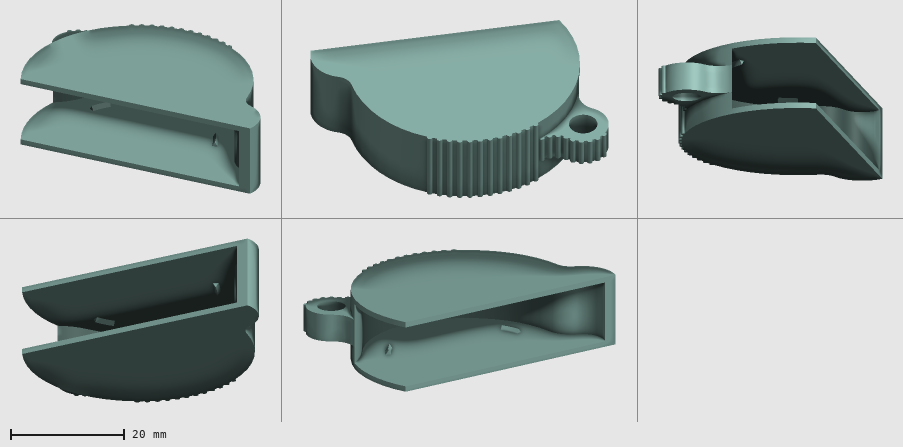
import cadquery as cq
import math

height = 13.0
length_y = 29.37
plate_thickness = 1.0
wall_thickness = 2.0
disc_radius = 20.5
cavity_height = height - 2 * plate_thickness
cavity_radius = disc_radius - wall_thickness

tooth_radius = 0.5
disc_tooth_pitch = 5.0
disc_tooth_count = 12
lug_tooth_pitch = 19.2
lug_tooth_count = 5
lug_first_tooth_angle = 56.0
blend_tooth_pitch = 21.7
blend_tooth_count = 4
blend_first_tooth_angle = 230.5

tooth_top = disc_radius * math.cos(math.radians(disc_tooth_pitch / 2)) + tooth_radius
mouth_y = tooth_top - length_y

lug_thickness = 5.0
lug_radius = 4.5
lug_hole_radius = 2.5
lug_distance = 24.0
lug_angle = 140.7
lug_blend_radius = 4.0

nose_radius = 6.0
nose_center = (20.2, -6.24)
nose_blend_radius = 3.0
nose_cavity_radius = nose_radius - wall_thickness
nose_flat_height = 0.69

lip_start_angle = 145.8

ridge_radius = 13.9
ridge_width = 1.05
ridge_height = 0.8
ridge_span = 15.0
ridge_start_angles = (15.0, 135.0)

clearance = 3.0


def polar(radius, angle, center=(0, 0)):
    """Point at a radius and an angle in degrees about a centre."""
    a = math.radians(angle)
    return (center[0] + radius * math.cos(a), center[1] + radius * math.sin(a))


def angle_of(point, center=(0, 0)):
    """Direction in degrees from a centre to a point."""
    return math.degrees(math.atan2(point[1] - center[1], point[0] - center[0]))


def blend_center(center, radius, blend_radius, side):
    """Centre of a circle touching the disc and another circle from outside.

    side is +1 for the solution counter-clockwise of the other circle, -1 for clockwise.
    """
    distance = math.hypot(*center)
    to_disc = disc_radius + blend_radius
    to_circle = radius + blend_radius
    cosine = (distance**2 + to_disc**2 - to_circle**2) / (2 * distance * to_disc)
    return polar(to_disc, angle_of(center) + side * math.degrees(math.acos(cosine)))


def prism(outline, thickness):
    """Outline on the mid-plane extruded equally up and down."""
    return outline.extrude(thickness / 2, both=True)


def arc_midpoint(center, radius, start, end):
    """Point halfway along an arc shorter than a half circle, found from the directions of its ends."""
    chord_middle = ((start[0] + end[0]) / 2, (start[1] + end[1]) / 2)
    return polar(radius, angle_of(chord_middle, center), center)


lug_center = polar(lug_distance, lug_angle)
lug_upper_blend = blend_center(lug_center, lug_radius, lug_blend_radius, -1)
lug_lower_blend = blend_center(lug_center, lug_radius, lug_blend_radius, 1)
nose_blend = blend_center(nose_center, nose_radius, nose_blend_radius, 1)


def make_body():
    """Disc with the nose, both cut flat at the mouth."""
    mouth_left = (-math.sqrt(disc_radius**2 - mouth_y**2), mouth_y)
    disc_end = polar(disc_radius, angle_of(nose_blend))
    nose_start = polar(nose_radius, angle_of(nose_blend, nose_center), nose_center)
    mouth_drop = mouth_y - nose_center[1]
    mouth_right = (nose_center[0] + math.sqrt(nose_radius**2 - mouth_drop**2), mouth_y)
    outline = (
        cq.Workplane("XY")
        .moveTo(*mouth_left)
        .threePointArc((0, disc_radius), disc_end)
        .threePointArc(arc_midpoint(nose_blend, nose_blend_radius, disc_end, nose_start), nose_start)
        .threePointArc((nose_center[0] + nose_radius, nose_center[1]), mouth_right)
        .close()
    )
    return prism(outline, height)


def make_cavity():
    """Tape space between the plates, open at the mouth and at the left side."""
    blend_radius = nose_blend_radius + wall_thickness
    disc_end = polar(cavity_radius, angle_of(nose_blend))
    nose_start = polar(nose_cavity_radius, angle_of(nose_blend, nose_center), nose_center)

    flat_drop = mouth_y + nose_flat_height - nose_center[1]
    flat_start_angle = math.degrees(math.asin(flat_drop / nose_cavity_radius))
    flat_start = polar(nose_cavity_radius, flat_start_angle, nose_center)
    flat_shift = nose_flat_height * math.tan(math.radians(flat_start_angle))
    flat_end = (flat_start[0] + flat_shift, mouth_y)

    lip_start = polar(cavity_radius, lip_start_angle)
    lip_end = polar(disc_radius, angle_of(lug_lower_blend))
    outward = polar(1, lip_start_angle)
    gap = (lip_start[0] - lip_end[0], lip_start[1] - lip_end[1])
    lip_radius = -(gap[0]**2 + gap[1]**2) / (2 * (gap[0] * outward[0] + gap[1] * outward[1]))
    lip_center = polar(cavity_radius + lip_radius, lip_start_angle)

    open_left = -disc_radius - clearance
    open_bottom = mouth_y - clearance
    outline = (
        cq.Workplane("XY")
        .moveTo(*flat_end)
        .lineTo(*flat_start)
        .threePointArc(
            arc_midpoint(nose_center, nose_cavity_radius, flat_start, nose_start), nose_start
        )
        .threePointArc(arc_midpoint(nose_blend, blend_radius, nose_start, disc_end), disc_end)
        .threePointArc((0, cavity_radius), lip_start)
        .threePointArc(arc_midpoint(lip_center, lip_radius, lip_start, lip_end), lip_end)
        .lineTo(open_left, lip_end[1])
        .lineTo(open_left, open_bottom)
        .lineTo(flat_end[0], open_bottom)
        .close()
    )
    return prism(outline, cavity_height)


def make_lug():
    """Round lug blended into the disc on both sides; its root lies inside the wall."""
    upper_on_disc = polar(disc_radius, angle_of(lug_upper_blend))
    upper_on_lug = polar(lug_radius, angle_of(lug_upper_blend, lug_center), lug_center)
    lower_on_lug = polar(lug_radius, angle_of(lug_lower_blend, lug_center), lug_center)
    lower_on_disc = polar(disc_radius, angle_of(lug_lower_blend))
    upper_middle = arc_midpoint(lug_upper_blend, lug_blend_radius, upper_on_disc, upper_on_lug)
    lower_middle = arc_midpoint(lug_lower_blend, lug_blend_radius, lower_on_lug, lower_on_disc)
    outline = (
        cq.Workplane("XY")
        .moveTo(*upper_on_disc)
        .threePointArc(upper_middle, upper_on_lug)
        .threePointArc(polar(lug_radius, lug_angle, lug_center), lower_on_lug)
        .threePointArc(lower_middle, lower_on_disc)
        .threePointArc(polar(disc_radius, lug_angle), upper_on_disc)
        .close()
    )
    return prism(outline, lug_thickness)


def make_teeth(center, radius, first_angle, pitch, count, thickness):
    """Row of half-round teeth spaced along an arc."""
    places = [polar(radius, first_angle + i * pitch, center) for i in range(count)]
    teeth = cq.Workplane("XY")
    for place in places:
        teeth = teeth.union(prism(cq.Workplane("XY").center(*place).circle(tooth_radius), thickness))
    return teeth


def make_ridge(start_angle):
    """Triangular arc ridge standing on the bottom plate's inner face."""
    floor = -cavity_height / 2
    root = floor - plate_thickness / 2
    inner = ridge_radius - ridge_width / 2
    outer = ridge_radius + ridge_width / 2
    section = [
        (inner, root),
        (outer, root),
        (outer, floor),
        (ridge_radius, floor + ridge_height),
        (inner, floor),
    ]
    ridge = cq.Workplane("XZ").polyline(section).close().revolve(ridge_span, (0, 0, 0), (0, 1, 0))
    return ridge.rotate((0, 0, 0), (0, 0, 1), start_angle)


disc_first_tooth_angle = 90 - disc_tooth_pitch * (disc_tooth_count - 1) / 2

result = make_body()
result = result.union(
    make_teeth((0, 0), disc_radius, disc_first_tooth_angle, disc_tooth_pitch, disc_tooth_count, height)
)
result = result.union(make_lug())
result = result.union(
    make_teeth(
        lug_center, lug_radius, lug_first_tooth_angle, lug_tooth_pitch, lug_tooth_count, lug_thickness
    )
)
result = result.union(
    make_teeth(
        lug_upper_blend,
        lug_blend_radius,
        blend_first_tooth_angle,
        blend_tooth_pitch,
        blend_tooth_count,
        lug_thickness,
    )
)
result = result.cut(make_cavity())
result = result.cut(prism(cq.Workplane("XY").center(*lug_center).circle(lug_hole_radius), lug_thickness))
for ridge_start_angle in ridge_start_angles:
    bottom_ridge = make_ridge(ridge_start_angle)
    result = result.union(bottom_ridge).union(bottom_ridge.mirror("XY"))